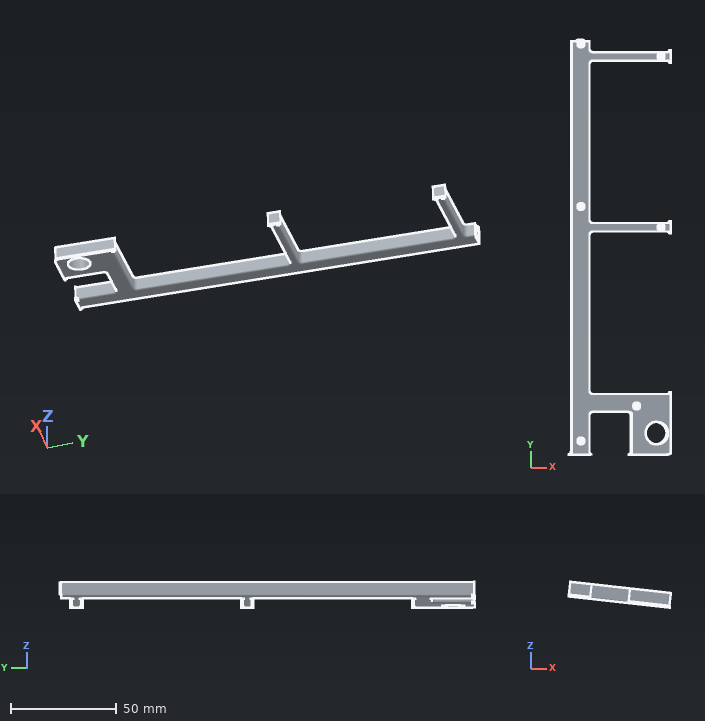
import cadquery as cq
import math

TILT_ANGLE = 6.35
THICKNESS = 7.1
FRAME_WIDTH = 47.2

SPINE_WIDTH = 8.3
SPINE_LENGTH = 196.1
ARM_WIDTH = 4.1
ARM_CENTERS_Y = (107.7, 188.8)

CROSSBAR_BOTTOM = 20.1
CROSSBAR_TOP = 28.6
PLATE_LEFT = 28.6
PLATE_CORNER_RADIUS = 1.0
PLATE_HOLE_DIAMETER = 10.7
PLATE_HOLE_CENTER = (40.5, 10.0)

INNER_RADIUS = 1.5
FLARE_RADIUS = 1.0
BOTTOM_RADIUS = 1.0
LIP_REACH = 0.4
LIP_HEIGHT = 1.0

SELECT_MARGIN = 0.02

SCREW_HOLE_DIAMETER = 1.8
SCREW_SINK_DIAMETER = 3.4
SCREW_HOLE_DEPTH = 4.3
BOSS_DIAMETER = 4.3
BOSS_DEPTH = 5.3
SPINE_SCREW_Y = (6.3, 117.6, 194.8)
ARM_SCREW_X = 42.5
PLATE_SCREW = (30.8, 22.9)

SPINE_CENTER_X = SPINE_WIDTH / 2
SCREW_POINTS = (
    [(SPINE_CENTER_X, y) for y in SPINE_SCREW_Y]
    + [(ARM_SCREW_X, y) for y in ARM_CENTERS_Y]
    + [PLATE_SCREW]
)


def block(x_min, x_max, y_min, y_max):
    """Full-thickness rectangular block resting on Z = 0."""
    return (
        cq.Workplane("XY", origin=(x_min, y_min, 0))
        .rect(x_max - x_min, y_max - y_min, centered=False)
        .extrude(THICKNESS)
    )


def flare(corner, x_sign, y_sign, wall_direction):
    """Concave web between a side wall and an end plane.

    It fills the two signed directions from the corner. A square foot behind it fills
    the rounded lower edge of the wall, which runs along the named axis.
    """
    x, y = corner
    x_tip = x + x_sign * FLARE_RADIUS
    y_tip = y + y_sign * FLARE_RADIUS
    bulge = FLARE_RADIUS * (1 - math.sqrt(0.5))
    web = (
        cq.Workplane("XY")
        .moveTo(x, y)
        .lineTo(x_tip, y)
        .threePointArc((x + x_sign * bulge, y + y_sign * bulge), (x, y_tip))
        .close()
        .extrude(THICKNESS)
    )
    if wall_direction == "Y":
        foot_x = sorted((x - x_sign * BOTTOM_RADIUS, x))
        foot_y = sorted((y, y_tip))
    else:
        foot_x = sorted((x, x_tip))
        foot_y = sorted((y - y_sign * BOTTOM_RADIUS, y))
    return web.union(block(*foot_x, *foot_y))


def lower_lip(x_min, x_max):
    """Sloping lip along the foot of an end face at Y = 0."""
    return (
        cq.Workplane("YZ", origin=(x_min, 0, 0))
        .polyline([(0, 0), (-LIP_REACH, 0), (0, LIP_HEIGHT)])
        .close()
        .extrude(x_max - x_min)
    )


def outer_lip(y_min, y_max):
    """Sloping lip along the foot of an end face at X = FRAME_WIDTH."""
    return (
        cq.Workplane("XZ", origin=(FRAME_WIDTH, y_max, 0))
        .polyline([(0, 0), (LIP_REACH, 0), (0, LIP_HEIGHT)])
        .close()
        .extrude(y_max - y_min)
    )


def screw_hole(x, y):
    """Blind hole with a 90 degree countersink at the top face."""
    hole_radius = SCREW_HOLE_DIAMETER / 2
    sink_radius = SCREW_SINK_DIAMETER / 2
    sink_depth = sink_radius - hole_radius
    return (
        cq.Workplane("XZ", origin=(x, y, THICKNESS))
        .polyline([
            (0, 0),
            (sink_radius, 0),
            (hole_radius, -sink_depth),
            (hole_radius, -SCREW_HOLE_DEPTH),
            (0, -SCREW_HOLE_DEPTH),
        ])
        .close()
        .revolve(360, (0, 0), (0, 1))
    )


arm_spans = [(y - ARM_WIDTH / 2, y + ARM_WIDTH / 2) for y in ARM_CENTERS_Y]

frame = block(0, SPINE_WIDTH, 0, SPINE_LENGTH)
for arm_bottom, arm_top in arm_spans:
    frame = frame.union(block(0, FRAME_WIDTH, arm_bottom, arm_top))
frame = frame.union(block(0, FRAME_WIDTH, CROSSBAR_BOTTOM, CROSSBAR_TOP))
frame = frame.union(block(PLATE_LEFT, FRAME_WIDTH, 0, CROSSBAR_TOP))

inner_corners = [(PLATE_LEFT, CROSSBAR_BOTTOM)]
for corner_y in [CROSSBAR_BOTTOM, CROSSBAR_TOP] + [y for span in arm_spans for y in span]:
    inner_corners.append((SPINE_WIDTH, corner_y))
for x, y in inner_corners:
    corner_edge = cq.selectors.NearestToPointSelector((x, y, THICKNESS / 2))
    frame = frame.edges("|Z").edges(corner_edge).fillet(INNER_RADIUS)
plate_corner = cq.selectors.NearestToPointSelector((FRAME_WIDTH, 0, THICKNESS / 2))
frame = frame.edges("|Z").edges(plate_corner).fillet(PLATE_CORNER_RADIUS)

side_walls = cq.selectors.BoxSelector(
    (-SELECT_MARGIN, SELECT_MARGIN, -SELECT_MARGIN),
    (FRAME_WIDTH - SELECT_MARGIN, SPINE_LENGTH - SELECT_MARGIN, SELECT_MARGIN),
)
plate_foot = cq.selectors.BoxSelector(
    (FRAME_WIDTH - PLATE_CORNER_RADIUS, 0, -SELECT_MARGIN),
    (FRAME_WIDTH, PLATE_CORNER_RADIUS, SELECT_MARGIN),
)
frame = frame.faces("<Z").edges(side_walls - plate_foot).fillet(BOTTOM_RADIUS)

frame = frame.union(flare((0, 0), -1, 1, "Y"))
frame = frame.union(flare((SPINE_WIDTH, 0), 1, 1, "Y"))
frame = frame.union(flare((PLATE_LEFT, 0), -1, 1, "Y"))
frame = frame.union(flare((FRAME_WIDTH, CROSSBAR_TOP), -1, 1, "X"))
for arm_bottom, arm_top in arm_spans:
    frame = frame.union(flare((FRAME_WIDTH, arm_bottom), -1, -1, "X"))
    frame = frame.union(flare((FRAME_WIDTH, arm_top), -1, 1, "X"))

frame = frame.union(lower_lip(-FLARE_RADIUS, SPINE_WIDTH + FLARE_RADIUS))
frame = frame.union(lower_lip(PLATE_LEFT - FLARE_RADIUS, FRAME_WIDTH - PLATE_CORNER_RADIUS))
frame = frame.union(outer_lip(PLATE_CORNER_RADIUS, CROSSBAR_TOP + FLARE_RADIUS))
for arm_bottom, arm_top in arm_spans:
    frame = frame.union(outer_lip(arm_bottom - FLARE_RADIUS, arm_top + FLARE_RADIUS))

top_plane = cq.Workplane("XY", origin=(0, 0, THICKNESS))
end_boss = top_plane.center(SPINE_CENTER_X, SPINE_SCREW_Y[-1]).circle(BOSS_DIAMETER / 2)
frame = frame.union(end_boss.extrude(-BOSS_DEPTH))
for x, y in SCREW_POINTS:
    frame = frame.cut(screw_hole(x, y))
plate_hole = top_plane.center(*PLATE_HOLE_CENTER).circle(PLATE_HOLE_DIAMETER / 2)
frame = frame.cut(plate_hole.extrude(-THICKNESS))

result = frame.rotate((0, 0, 0), (0, 1, 0), TILT_ANGLE)